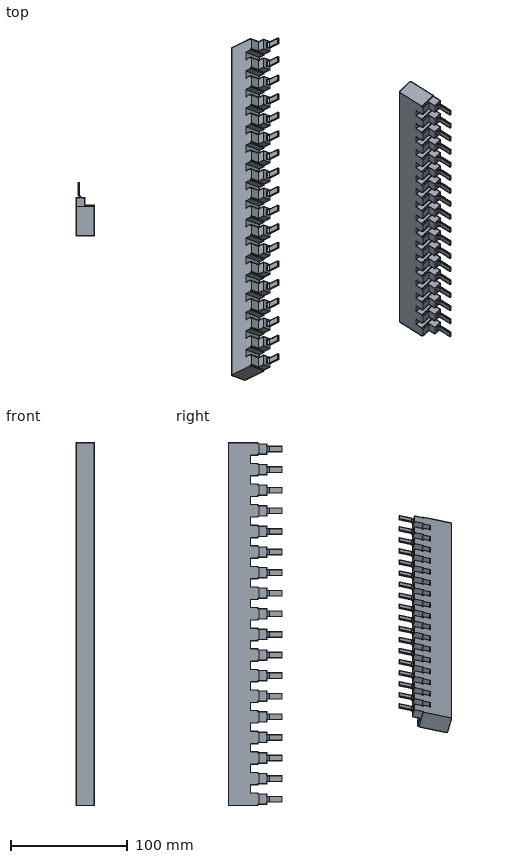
import cadquery as cq


width = 15.5
depth = 46.0
length = 310.2

bar_depth = 19.0
front_edge_radius = 1.0

tooth_count = 18
root_height = 11.0
neck_height = 9.0
neck_width = 7.5
pitch = (length - root_height) / (tooth_count - 1)

root_end = 25.0
ledge_end = 26.5
neck_end = 33.0

pin_height = 5.0
pin_thickness = 1.2
pin_side = 1.5
jog_length = 2.2
jog_offset = 1.5


def block(x_size, y_start, y_end, z_size, z_middle):
    """Box starting at the X = 0 side, centred in height on z_middle."""
    box = cq.Workplane("XY").box(x_size, y_end - y_start, z_size, centered=(False, False, True))
    return box.translate((0, y_start, z_middle))


def make_bar():
    """Plain bar with its two long front edges rounded."""
    bar = block(width, 0, bar_depth, length, length / 2)
    return bar.faces("<Y").edges("|Z").fillet(front_edge_radius)


def make_pin(z_middle):
    """Flat pin, offset in X by the jog at the end of the neck."""
    far_side = pin_side + pin_thickness
    jog_end = neck_end + jog_length
    outline = [
        (pin_side + jog_offset, neck_end),
        (pin_side, jog_end),
        (pin_side, depth),
        (far_side, depth),
        (far_side, jog_end),
        (far_side + jog_offset, neck_end),
    ]
    pin_plane = cq.Workplane("XY").workplane(offset=z_middle - pin_height / 2)
    return pin_plane.polyline(outline).close().extrude(pin_height)


def make_tooth(z_middle):
    """Full-width root, lower full-width ledge, narrow neck and contact pin."""
    root = block(width, bar_depth, root_end, root_height, z_middle)
    ledge = block(width, root_end, ledge_end, neck_height, z_middle)
    neck = block(neck_width, ledge_end, neck_end, neck_height, z_middle)
    return root.union(ledge).union(neck).union(make_pin(z_middle))


result = make_bar()
for index in range(tooth_count):
    result = result.union(make_tooth(root_height / 2 + index * pitch))